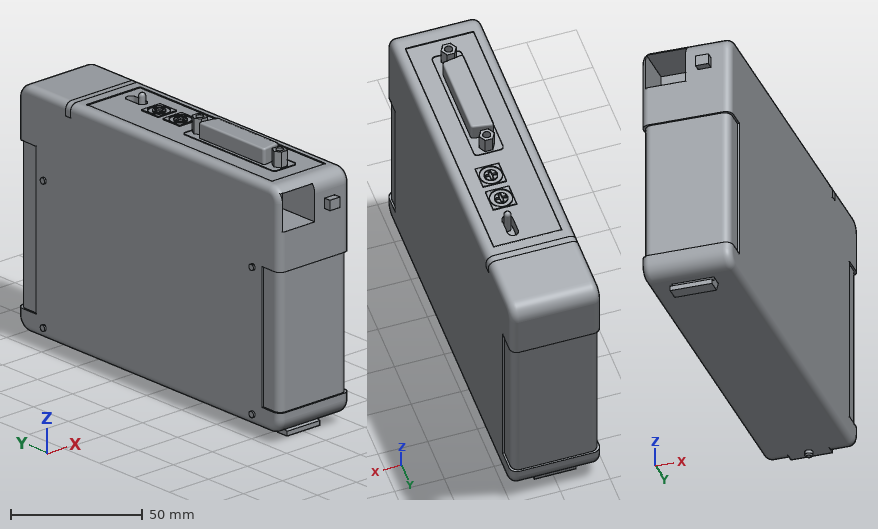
import cadquery as cq


CASE_WIDTH = 36.3
CASE_LENGTH = 150.0
CASE_HEIGHT = 101.2
CORNER_RADIUS = 6.1
EDGE_RADIUS = 3.0

GRIP_INSET = 0.8
GRIP_BOTTOM = 9.2
FRONT_GRIP_TOP = 67.0
FRONT_GRIP_LENGTH = 10.1
REAR_GRIP_TOP = 78.0
REAR_GRIP_LENGTH = 10.7

STRIP_FRONT = 119.5
STRIP_LENGTH = 2.8
STRIP_DEPTH = 5.7

PANEL_MARGIN = 4.5
PANEL_FRONT = 9.2
PANEL_LENGTH = 106.0
PANEL_DEPTH = 0.5
PANEL_Z = CASE_HEIGHT - PANEL_DEPTH

TOGGLE_X = 22.3
SLOT_Y = 106.7
SLOT_LENGTH = 10.5
SLOT_WIDTH = 4.3
SLOT_DEPTH = 5.4
LEVER_Y = 103.5
LEVER_RADIUS = 1.4
LEVER_RISE = 3.7

ROTARY_X = 21.3
ROTARY_Y = (92.6, 80.3)
ROTARY_SIZE = 9.5
DIAL_DIAMETER = 8.9
ROTOR_DIAMETER = 5.2
CROSS_LENGTH = 4.3
CROSS_WIDTH = 1.0
DIAL_DEPTH = 0.5
CROSS_DEPTH = 0.9

CONNECTOR_X = 18.0
CONNECTOR_Y = 42.8
CONNECTOR_RISE = 6.3
FLANGE_WIDTH = 11.8
FLANGE_LENGTH = 52.6
FLANGE_RADIUS = 1.5
FLANGE_THICKNESS = 0.3
SHELL_WIDTH = 8.9
SHELL_LONG_SIDE = 38.0
SHELL_SHORT_SIDE = 34.9
SHELL_CORNER_RADIUS = 1.0
SHELL_TOP_RADIUS = 0.8
NUT_SPACING = 45.8
NUT_ACROSS_CORNERS = 6.1
NUT_HOLE_DIAMETER = 3.0
NUT_HOLE_DEPTH = 4.6

PORT_LEFT = 1.8
PORT_WIDTH = 16.2
PORT_HEIGHT = 15.3
PORT_TOP_GAP = 2.3
PORT_DEPTH = 18.4
BUTTON_LEFT = 23.1
BUTTON_WIDTH = 5.2
BUTTON_HEIGHT = 4.3
BUTTON_TOP_GAP = 9.2
BUTTON_RISE = 3.0

SCREW_DIAMETER = 2.6
SCREW_RISE = 0.8
SCREW_Y = (15.3, 134.7)
SCREW_Z = (4.9, 65.3)

CLIP_LEFT = 9.6
CLIP_WIDTH = 16.8
CLIP_DROP = 4.1
CLIP_LIP_TOP = -2.1
CLIP_NOTCH_TOP = -1.5
CLIP_TIP_Y = 6.5
CLIP_NECK_Y = 8.7
CLIP_HEEL_Y = 11.8
CLIP_ROOT_Y = 14.0
CLIP_BLOCK_REAR = 148.0
CLIP_BLOCK_LENGTH = 6.1
CLIP_BLOCK_HEIGHT = 1.7
FOOT_Y = 144.5
FOOT_DIAMETER = 3.2
FOOT_DROP = 2.0
FOOT_CHAMFER = 0.6

EMBED = 0.8


def box(x, y, z, width, length, height):
    """Box with its lowest corner at (x, y, z)."""
    return cq.Workplane().box(width, length, height, centered=False).translate((x, y, z))


def cylinder_z(x, y, z, diameter, height):
    return cq.Workplane("XY", origin=(x, y, z)).circle(diameter / 2).extrude(height)


def make_case_shell():
    """Outer block with rounded corners and rounded side edges."""
    block = box(0, 0, 0, CASE_WIDTH, CASE_LENGTH, CASE_HEIGHT)
    block = block.edges("|X").fillet(CORNER_RADIUS)
    return block.faces("<X or >X").edges().fillet(EDGE_RADIUS)


def make_grip_cutter(y, length, top):
    """Ring of material to remove so that one end stands in from the case."""
    height = top - GRIP_BOTTOM
    core = box(
        GRIP_INSET, GRIP_INSET, GRIP_BOTTOM,
        CASE_WIDTH - 2 * GRIP_INSET, CASE_LENGTH - 2 * GRIP_INSET, height,
    )
    core = core.edges("|Z").fillet(EDGE_RADIUS)
    return box(0, y, GRIP_BOTTOM, CASE_WIDTH, length, height).cut(core)


def make_strip_space():
    """Space that the indicator strip takes up in the case."""
    return box(0, STRIP_FRONT, CASE_HEIGHT - STRIP_DEPTH, CASE_WIDTH, STRIP_LENGTH, STRIP_DEPTH)


def make_toggle_slot():
    return (
        cq.Workplane("XY", origin=(TOGGLE_X, SLOT_Y, PANEL_Z))
        .slot2D(SLOT_LENGTH, SLOT_WIDTH, 90)
        .extrude(-SLOT_DEPTH)
    )


def make_toggle_lever():
    """Round lever with a ball-shaped tip, standing on the slot floor."""
    bottom = PANEL_Z - SLOT_DEPTH - EMBED
    ball_z = CASE_HEIGHT + LEVER_RISE - LEVER_RADIUS
    rod = cylinder_z(TOGGLE_X, LEVER_Y, bottom, 2 * LEVER_RADIUS, ball_z - bottom)
    ball = cq.Workplane().sphere(LEVER_RADIUS).translate((TOGGLE_X, LEVER_Y, ball_z))
    return rod.union(ball)


def make_rotary_base(y):
    return box(
        ROTARY_X - ROTARY_SIZE / 2, y - ROTARY_SIZE / 2, PANEL_Z - EMBED,
        ROTARY_SIZE, ROTARY_SIZE, PANEL_DEPTH + EMBED,
    )


def make_rotary_recess(y):
    """Ring-shaped dial recess and the cross slot in the rotor at its middle."""
    dial = cylinder_z(ROTARY_X, y, CASE_HEIGHT, DIAL_DIAMETER, -DIAL_DEPTH)
    rotor = cylinder_z(ROTARY_X, y, CASE_HEIGHT, ROTOR_DIAMETER, -DIAL_DEPTH)
    slots = cq.Workplane("XY", origin=(ROTARY_X, y, CASE_HEIGHT))
    cross = slots.rect(CROSS_LENGTH, CROSS_WIDTH).extrude(-CROSS_DEPTH)
    cross = cross.union(slots.rect(CROSS_WIDTH, CROSS_LENGTH).extrude(-CROSS_DEPTH))
    return dial.cut(rotor).union(cross)


def make_connector():
    """Flange, D-shaped shell and two hexagonal jack nuts."""
    foot_z = PANEL_Z - EMBED
    height = CASE_HEIGHT + CONNECTOR_RISE - foot_z
    at_foot = cq.Workplane("XY", origin=(CONNECTOR_X, CONNECTOR_Y, foot_z))

    flange = at_foot.rect(FLANGE_WIDTH, FLANGE_LENGTH).extrude(FLANGE_THICKNESS + EMBED)
    flange = flange.edges("|Z").fillet(FLANGE_RADIUS)

    shell = at_foot.polyline([
        (-SHELL_WIDTH / 2, -SHELL_LONG_SIDE / 2),
        (SHELL_WIDTH / 2, -SHELL_SHORT_SIDE / 2),
        (SHELL_WIDTH / 2, SHELL_SHORT_SIDE / 2),
        (-SHELL_WIDTH / 2, SHELL_LONG_SIDE / 2),
    ]).close().extrude(height)
    shell = shell.edges("|Z").fillet(SHELL_CORNER_RADIUS)
    shell = shell.faces(">Z").edges().fillet(SHELL_TOP_RADIUS)

    nut_places = [(0, -NUT_SPACING / 2), (0, NUT_SPACING / 2)]
    nuts = at_foot.pushPoints(nut_places).polygon(6, NUT_ACROSS_CORNERS).extrude(height)
    holes = (
        at_foot.workplane(offset=height)
        .pushPoints(nut_places)
        .circle(NUT_HOLE_DIAMETER / 2)
        .extrude(-NUT_HOLE_DEPTH)
    )
    return flange.union(shell).union(nuts.cut(holes))


def make_port():
    bottom = CASE_HEIGHT - PORT_TOP_GAP - PORT_HEIGHT
    return box(PORT_LEFT, 0, bottom, PORT_WIDTH, PORT_DEPTH, PORT_HEIGHT)


def make_button():
    bottom = CASE_HEIGHT - BUTTON_TOP_GAP - BUTTON_HEIGHT
    return box(
        BUTTON_LEFT, -BUTTON_RISE, bottom,
        BUTTON_WIDTH, BUTTON_RISE + EMBED, BUTTON_HEIGHT,
    )


def make_screw_head(y, z):
    return (
        cq.Workplane("YZ", origin=(-SCREW_RISE, y, z))
        .circle(SCREW_DIAMETER / 2)
        .extrude(SCREW_RISE + EMBED)
    )


def make_clip_hook():
    """Hook at the front of the rail clip, its lip pointing forward."""
    return (
        cq.Workplane("YZ", origin=(CLIP_LEFT, 0, 0))
        .polyline([
            (CLIP_ROOT_Y, EMBED),
            (CLIP_ROOT_Y, 0),
            (CLIP_HEEL_Y, -CLIP_DROP),
            (CLIP_TIP_Y, -CLIP_DROP),
            (CLIP_TIP_Y, CLIP_LIP_TOP),
            (CLIP_NECK_Y, CLIP_NOTCH_TOP),
            (CLIP_NECK_Y, EMBED),
        ])
        .close()
        .extrude(CLIP_WIDTH)
    )


def make_clip_rear():
    """Flush block and small round foot at the rear of the rail clip."""
    block = box(
        CLIP_LEFT, CLIP_BLOCK_REAR - CLIP_BLOCK_LENGTH, 0,
        CLIP_WIDTH, CLIP_BLOCK_LENGTH, CLIP_BLOCK_HEIGHT,
    )
    foot_x = CLIP_LEFT + CLIP_WIDTH / 2
    foot = cylinder_z(foot_x, FOOT_Y, -FOOT_DROP, FOOT_DIAMETER, FOOT_DROP + EMBED)
    return block.union(foot.faces("<Z").edges().chamfer(FOOT_CHAMFER))


def make_housing(shell):
    panel_width = CASE_WIDTH - 2 * PANEL_MARGIN
    rear_grip_y = CASE_LENGTH - REAR_GRIP_LENGTH

    housing = shell.cut(make_grip_cutter(0, FRONT_GRIP_LENGTH, FRONT_GRIP_TOP))
    housing = housing.cut(make_grip_cutter(rear_grip_y, REAR_GRIP_LENGTH, REAR_GRIP_TOP))
    housing = housing.cut(make_strip_space())
    housing = housing.cut(
        box(PANEL_MARGIN, PANEL_FRONT, PANEL_Z, panel_width, PANEL_LENGTH, PANEL_DEPTH)
    )
    housing = housing.cut(make_toggle_slot()).union(make_toggle_lever())
    for y in ROTARY_Y:
        housing = housing.union(make_rotary_base(y)).cut(make_rotary_recess(y))
    housing = housing.union(make_connector())
    housing = housing.cut(make_port()).union(make_button())
    for y in SCREW_Y:
        for z in SCREW_Z:
            housing = housing.union(make_screw_head(y, z))
    return housing.union(make_clip_hook()).union(make_clip_rear())


def make_indicator_strip(shell):
    """Strip across the top that follows the rounded outline of the case."""
    return shell.intersect(make_strip_space())


case_shell = make_case_shell()
housing = make_housing(case_shell)
indicator_strip = make_indicator_strip(case_shell)

result = cq.Compound.makeCompound([housing.solids().val(), indicator_strip.solids().val()])